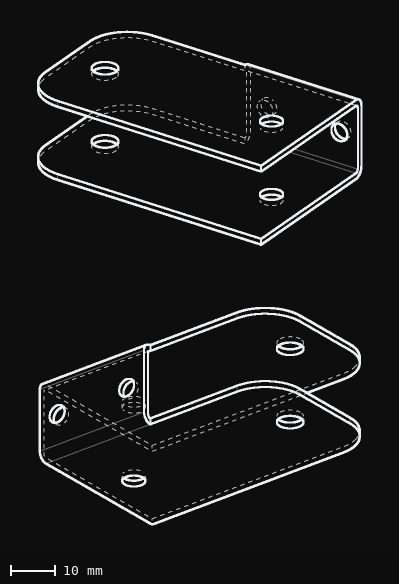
import cadquery as cq

length = 65.0
depth = 40.0
height = 20.0

thickness = 1.5
bend_outer_radius = 2.2
bend_inner_radius = bend_outer_radius - thickness

plate_width = depth - bend_outer_radius
corner_radius = 10.0
large_hole_diameter = 6.0
small_hole_diameter = 5.2
plate_hole_inset = 10.0

web_length = 30.0
web_start = length - web_length
web_hole_diameter = 4.3
web_hole_positions = (40.0, 60.0)


def make_plate(bottom):
    """Flat plate with its underside at the given height."""
    plate = cq.Workplane("XY").box(length, plate_width, thickness, centered=False)
    plate = plate.edges("|Z and <X").fillet(corner_radius)
    return plate.translate((0, 0, bottom))


def make_web():
    """Back web with both bends, made as a C-shaped channel."""
    bend_start = plate_width
    lap = corner_radius
    outer = (
        cq.Workplane("XY")
        .box(web_length, lap + bend_outer_radius, height, centered=False)
        .edges("|X and >Y")
        .fillet(bend_outer_radius)
    )
    inner = (
        cq.Workplane("XY")
        .box(web_length, lap + bend_inner_radius, height - 2 * thickness, centered=False)
        .edges("|X and >Y")
        .fillet(bend_inner_radius)
        .translate((0, 0, thickness))
    )
    return outer.cut(inner).translate((web_start, bend_start - lap, 0))


def drill_plates(body, x, diameter):
    """Drill through both plates on their centre line."""
    drill = cq.Workplane("XY").center(x, plate_width / 2).circle(diameter / 2).extrude(height)
    return body.cut(drill)


def drill_web(body, x):
    """Drill through the web at mid height."""
    drill = cq.Workplane("XZ").center(x, height / 2).circle(web_hole_diameter / 2).extrude(-depth)
    return body.cut(drill)


result = make_plate(0).union(make_plate(height - thickness)).union(make_web())
result = drill_plates(result, plate_hole_inset, large_hole_diameter)
result = drill_plates(result, length - plate_hole_inset, small_hole_diameter)
for hole_x in web_hole_positions:
    result = drill_web(result, hole_x)